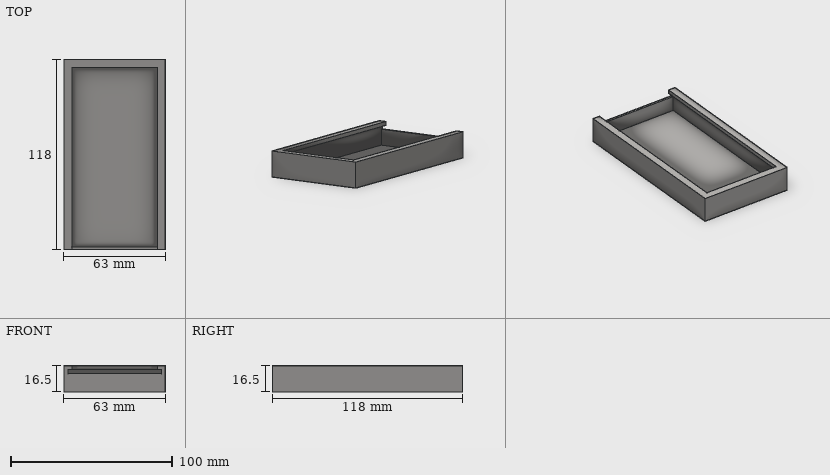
import cadquery as cq

width = 63.0
length = 118.0
height = 16.5

wall = 2.5
front_wall = 1.5
floor = 1.5

lip_overhang = 2.5
lip_height = 2.5
slot_height = 2.5

lip_bottom = height - lip_height
slot_bottom = lip_bottom - slot_height
cavity_width = width - 2 * wall
cavity_back = length - wall


def block(size_x, y_start, y_end, z_start, z_end):
    """Box centred on X, spanning the given Y and Z ranges."""
    return (
        cq.Workplane("XY")
        .box(size_x, y_end - y_start, z_end - z_start, centered=(True, False, False))
        .translate((0, y_start, z_start))
    )


body = block(width, 0, length, 0, height)

cavity = block(cavity_width, front_wall, cavity_back, floor, lip_bottom)

lid_slot = block(cavity_width, 0, cavity_back, slot_bottom, lip_bottom)

lip_opening = block(
    cavity_width - 2 * lip_overhang, 0, cavity_back - lip_overhang, lip_bottom, height
)

result = body.cut(cavity).cut(lid_slot).cut(lip_opening)